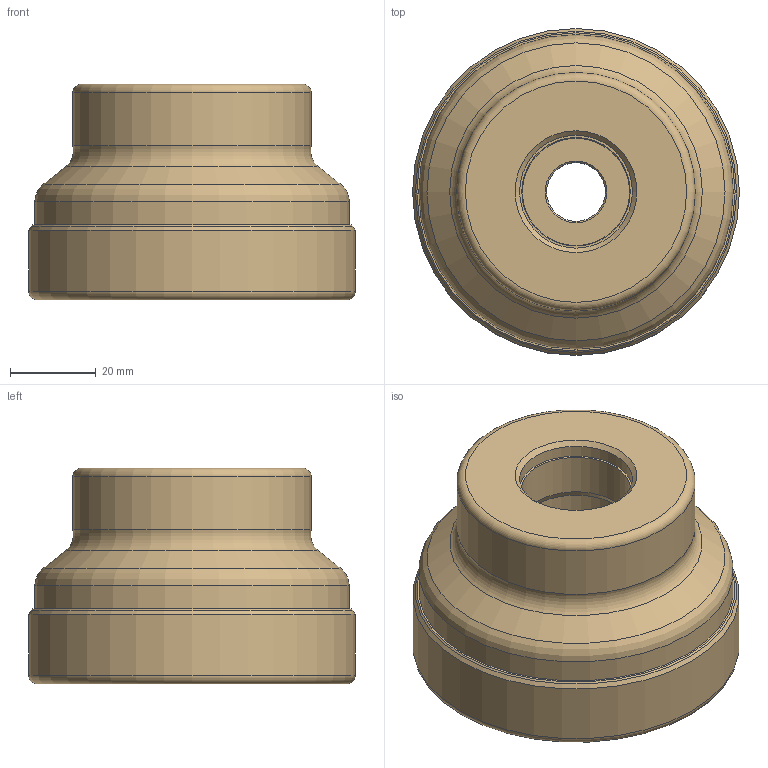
import cadquery as cq
import math

total_height = 50.31
base_height = 17.5

base_radius = 38.1
base_rim_fillet = 2.0
lower_bevel_width = 0.65
lower_bevel_height = 0.95
upper_bevel = 0.35
through_hole_radius = 6.85
through_hole_chamfer = 0.35

skirt_radius = 36.65
skirt_top = 22.9
shoulder_slope = math.radians(51.5)
shoulder_fillet = 5.05
neck_radius = 27.8
neck_top_fillet = 2.0
neck_root_fillet = 4.75
neck_root_radius = 29.45

bore_radius = 13.15
bore_mouth_chamfer = 1.05
band_radius = 12.65
band_top = 46.45
band_bottom = 36.6
band_taper_height = 1.3
bore_floor_chamfer = 0.65


def polar(center, radius, angle):
    """Point at an angle (from the outward radial direction) on a circle in the section plane."""
    return (center[0] + radius * math.cos(angle), center[1] + radius * math.sin(angle))


def revolve_profile(profile):
    """Turn a closed (radius, height) outline on the XZ plane about the Z axis."""
    return profile.close().revolve(360, (0, 0, 0), (0, 1, 0))


def make_base():
    bevel_joint_radius = base_radius - lower_bevel_width
    bevel_joint_height = base_height - upper_bevel
    rim_center = (base_radius - base_rim_fillet, base_rim_fillet)
    profile = (
        cq.Workplane("XZ")
        .moveTo(through_hole_radius, 0)
        .lineTo(rim_center[0], 0)
        .threePointArc(
            polar(rim_center, base_rim_fillet, math.radians(-45)),
            (base_radius, base_rim_fillet),
        )
        .lineTo(base_radius, bevel_joint_height - lower_bevel_height)
        .lineTo(bevel_joint_radius, bevel_joint_height)
        .lineTo(bevel_joint_radius - upper_bevel, base_height)
        .lineTo(through_hole_radius + through_hole_chamfer, base_height)
        .lineTo(through_hole_radius, base_height - through_hole_chamfer)
    )
    return revolve_profile(profile)


def make_housing():
    shoulder_center = (skirt_radius - shoulder_fillet, skirt_top)
    slope_start = polar(shoulder_center, shoulder_fillet, shoulder_slope)

    slope_rise = (slope_start[0] - neck_root_radius) / math.tan(shoulder_slope)
    slope_end = (neck_root_radius, slope_start[1] + slope_rise)
    root_center = polar(slope_end, neck_root_fillet, shoulder_slope)
    root_start_angle = math.pi + shoulder_slope
    root_end_angle = math.acos((neck_radius - root_center[0]) / neck_root_fillet)
    root_middle_angle = (root_start_angle + root_end_angle) / 2

    neck_top_center = (neck_radius - neck_top_fillet, total_height - neck_top_fillet)

    profile = (
        cq.Workplane("XZ")
        .moveTo(bore_radius - bore_floor_chamfer, base_height)
        .lineTo(skirt_radius, base_height)
        .lineTo(skirt_radius, skirt_top)
        .threePointArc(polar(shoulder_center, shoulder_fillet, shoulder_slope / 2), slope_start)
        .lineTo(*slope_end)
        .threePointArc(
            polar(root_center, neck_root_fillet, root_middle_angle),
            polar(root_center, neck_root_fillet, root_end_angle),
        )
        .lineTo(neck_radius, neck_top_center[1])
        .threePointArc(
            polar(neck_top_center, neck_top_fillet, math.radians(45)),
            (neck_top_center[0], total_height),
        )
        .lineTo(bore_radius + bore_mouth_chamfer, total_height)
        .lineTo(bore_radius, total_height - bore_mouth_chamfer)
        .lineTo(bore_radius, band_top)
        .lineTo(band_radius, band_top)
        .lineTo(band_radius, band_bottom)
        .lineTo(bore_radius, band_bottom - band_taper_height)
        .lineTo(bore_radius, base_height + bore_floor_chamfer)
    )
    return revolve_profile(profile)


base = make_base()
housing = make_housing()

result = cq.Compound.makeCompound([base.val(), housing.val()])